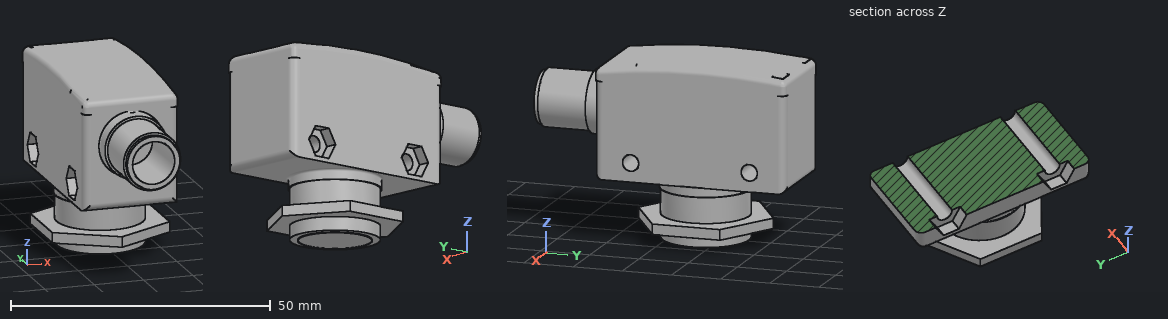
import cadquery as cq
import math

housing_width = 19.3
housing_length = 38.85
seam_height = 19.55
body_edge_radius = 1.55
front_y = -housing_length / 2
back_y = housing_length / 2

lid_corner_radius = 1.0
lid_edge_radius = 1.5
crown_height = 23.8
crown_y = 1.6
crown_radius = 138.5

pad_width = 3.85
pad_length = 2.15
pad_side_inset = 1.1
pad_back_inset = 0.9

hole_end_distance = 7.35
hole_height = 3.85
hole_diameter = 3.25
pocket_across_flats = 5.95
pocket_depth = 2.5

connector_height = 13.0
connector_collar_diameter = 12.65
connector_collar_length = 3.0
connector_fillet = 0.25
barrel_diameter = 11.6
barrel_length = 9.85
tip_diameter = 10.65
tip_length = 0.95
bore_diameter = 8.55
bore_depth = connector_collar_length + barrel_length + tip_length

neck_collar_diameter = 18.0
neck_collar_length = 2.1
neck_fillet = 0.5
neck_diameter = 17.55
neck_length = 10.0
lens_diameter = 14.3
lens_thickness = 0.15
nut_across_flats = 23.85
nut_thickness = 2.1
nut_top_depth = 7.3


def stepped_post(plane, steps, root_fillet):
    """Coaxial cylinders (diameter, length) stacked from a plane, filleted outward where they start."""
    post = cq.Workplane(plane)
    start = 0.0
    for diameter, length in steps:
        post = post.union(cq.Workplane(plane).workplane(offset=start).circle(diameter / 2).extrude(length))
        start += length
    root_radius = steps[0][0] / 2
    flare = (
        cq.Workplane("XZ")
        .lineTo(root_radius + root_fillet, 0)
        .radiusArc((root_radius, root_fillet), root_fillet)
        .lineTo(0, root_fillet)
        .close()
        .revolve(360, (0, 0, 0), (0, 1, 0))
    )
    return post.union(cq.Workplane(flare.val().moved(plane.location)))


def crown_z(y):
    """Height of the crowned lid surface at a given Y."""
    return crown_height - crown_radius + math.sqrt(crown_radius**2 - (y - crown_y) ** 2)


def make_body():
    """Box with rounded upright edges and rounded bottom ends; its long bottom edges stay sharp."""
    upright = (
        cq.Workplane("XY")
        .rect(housing_width, housing_length)
        .extrude(seam_height)
        .edges("|Z")
        .fillet(body_edge_radius)
    )
    side_profile = (
        cq.Workplane("XY")
        .rect(housing_width, housing_length)
        .extrude(seam_height)
        .edges("|X and <Z")
        .fillet(body_edge_radius)
    )
    return upright.intersect(side_profile)


def make_crowned_block():
    """Lid with all its edges still sharp."""
    return (
        cq.Workplane("YZ", origin=(-housing_width / 2, 0, 0))
        .moveTo(front_y, seam_height)
        .lineTo(back_y, seam_height)
        .lineTo(back_y, crown_z(back_y))
        .threePointArc((crown_y, crown_height), (front_y, crown_z(front_y)))
        .close()
        .extrude(housing_width)
    )


def make_lid():
    lid = make_crowned_block().faces(">Z").edges().fillet(lid_edge_radius)
    lid = lid.edges("|Z").fillet(lid_corner_radius)
    pad_x = housing_width / 2 - pad_side_inset - pad_width / 2
    pad_y = back_y - pad_back_inset - pad_length / 2
    pad_columns = (
        cq.Workplane("XY", origin=(0, 0, seam_height))
        .pushPoints([(-pad_x, pad_y), (pad_x, pad_y)])
        .rect(pad_width, pad_length)
        .extrude(crown_height - seam_height)
    )
    pads = make_crowned_block().intersect(pad_columns)
    return lid.cut(pad_columns).union(pads, clean=False)


def make_mounting_cuts():
    hole_y = back_y - hole_end_distance
    side = cq.Workplane("YZ", origin=(-housing_width / 2, 0, hole_height))
    side = side.pushPoints([(-hole_y, 0), (hole_y, 0)])
    holes = side.circle(hole_diameter / 2).extrude(housing_width)
    pockets = side.polygon(6, pocket_across_flats / math.cos(math.pi / 6)).extrude(pocket_depth)
    return holes.union(pockets)


def make_connector():
    root = cq.Plane(origin=(0, front_y, connector_height), xDir=(1, 0, 0), normal=(0, -1, 0))
    steps = [
        (connector_collar_diameter, connector_collar_length),
        (barrel_diameter, barrel_length),
        (tip_diameter, tip_length),
    ]
    bore = cq.Workplane(root).circle(bore_diameter / 2).extrude(bore_depth)
    return stepped_post(root, steps, connector_fillet).cut(bore)


def make_neck():
    root = cq.Plane(origin=(0, 0, 0), xDir=(1, 0, 0), normal=(0, 0, -1))
    steps = [
        (neck_collar_diameter, neck_collar_length),
        (neck_diameter, neck_length),
        (lens_diameter, lens_thickness),
    ]
    nut = (
        cq.Workplane("XY", origin=(0, 0, -nut_top_depth))
        .polygon(6, nut_across_flats / math.cos(math.pi / 6))
        .extrude(-nut_thickness)
        .rotate((0, 0, 0), (0, 0, 1), 90)
    )
    return stepped_post(root, steps, neck_fillet).union(nut)


housing = make_body().cut(make_mounting_cuts()).union(make_lid(), clean=False)
result = housing.union(make_connector(), clean=False).union(make_neck(), clean=False)